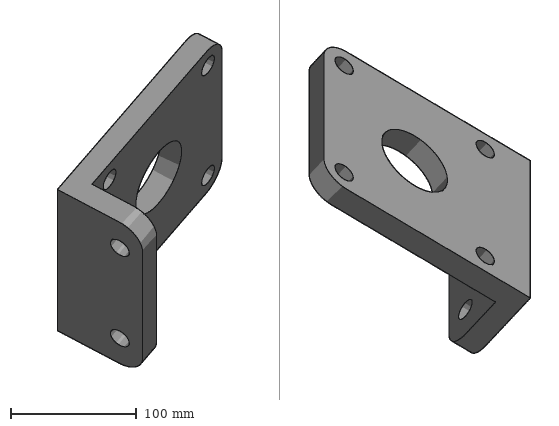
import cadquery as cq

flange_width = 82.0
plate_length = 205.0
height = 180.0
thickness = 19.9
corner_radius = 22.5

bolt_diameter = 18.0
bore_diameter = 65.0
plate_bolt_spacing = 140.0
plate_bolt_edge = 20.0
flange_bolt_spacing = 115.0
flange_bolt_edge = 22.0

mid_height = height / 2
bore_y = plate_length - plate_bolt_edge - plate_bolt_spacing / 2


def hole_along_x(y, z, diameter):
    """Cutter through the large plate."""
    return cq.Workplane("YZ").center(y, z).circle(diameter / 2).extrude(thickness)


def hole_along_y(x, z, diameter):
    """Cutter through the flange."""
    return cq.Workplane("XZ").center(x, z).circle(diameter / 2).extrude(-thickness)


plate = (
    cq.Workplane("XY")
    .box(thickness, plate_length, height, centered=False)
    .edges("|X and >Y")
    .fillet(corner_radius)
)
flange = (
    cq.Workplane("XY")
    .box(flange_width, thickness, height, centered=False)
    .edges("|Y and >X")
    .fillet(corner_radius)
)
result = plate.union(flange)

result = result.cut(hole_along_x(bore_y, mid_height, bore_diameter))
for y_side in (-1, 1):
    for z_side in (-1, 1):
        bolt_y = bore_y + y_side * plate_bolt_spacing / 2
        bolt_z = mid_height + z_side * plate_bolt_spacing / 2
        result = result.cut(hole_along_x(bolt_y, bolt_z, bolt_diameter))

for z_side in (-1, 1):
    bolt_x = flange_width - flange_bolt_edge
    bolt_z = mid_height + z_side * flange_bolt_spacing / 2
    result = result.cut(hole_along_y(bolt_x, bolt_z, bolt_diameter))